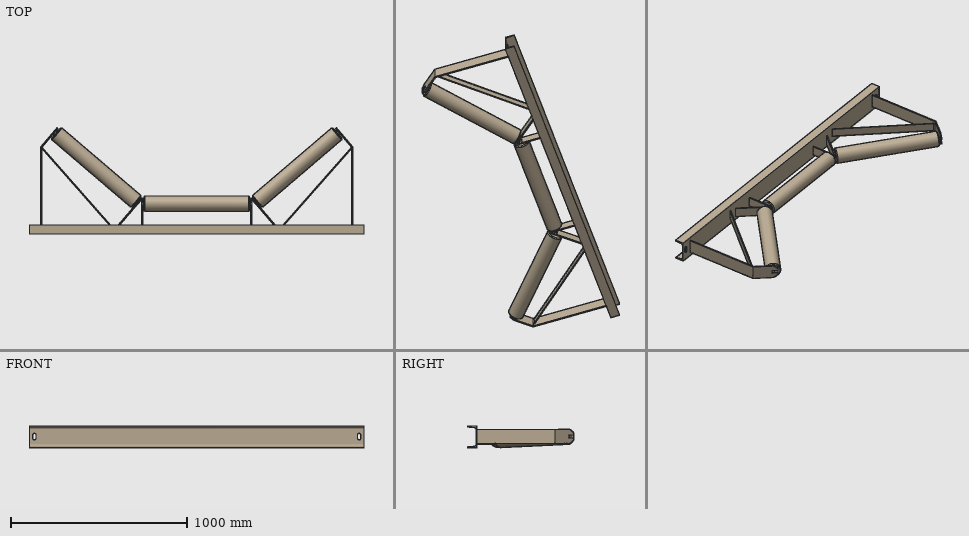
import cadquery as cq
import math

channel_length = 1900.0
channel_height = 125.0
channel_depth = 53.0
web_thickness = 5.0
flange_thickness = 9.1
flange_taper = 0.1
root_radius = 9.0
toe_radius = 4.4
mount_slot_width = 17.0
mount_slot_height = 36.0
mount_slot_inset = 28.0
mount_slot_z = 2.0

roller_diameter = 90.0
roller_length = 600.0
roller_edge_chamfer = 5.0
shaft_end_height = 16.0
shaft_end_depth = 15.0
shaft_length = 629.0
trough_angle = 40.5
forward_tilt = 1.8
center_roller_y = 120.0
center_roller_z = -15.0
wing_roller_x = 570.0
wing_roller_y = 325.0
wing_roller_z = -8.0

bar_thickness = 8.0
outer_bracket_height = 80.0
outer_bracket_x = 885.0
outer_bracket_fold_y = 443.0
outer_bracket_tip_y = 551.0
outer_bracket_z = 2.8
tip_chamfer_along = 25.0
tip_chamfer_height = 19.0
inner_bracket_x = 305.0
inner_bracket_top_y = 152.0
inner_bracket_top_width = 10.0
inner_bracket_height = 55.0
inner_bracket_z = -15.0
shaft_slot_width = 17.0
shaft_slot_through = 3 * bar_thickness

brace_height = 50.0
brace_foot_x = 490.0
brace_foot_width = 8.0

trough = math.radians(trough_angle)
axis_direction = cq.Vector(math.cos(trough), math.sin(trough))
plate_direction = cq.Vector(-math.sin(trough), math.cos(trough))
outer_bracket_inside_fold_y = outer_bracket_fold_y - bar_thickness * math.tan(trough / 2)


def extrude_about(outline, z_middle, height):
    """Close the XY outline and extrude it by height, centred on z_middle."""
    points = [(point.x, point.y) for point in outline]
    return (
        cq.Workplane("XY", origin=(0, 0, z_middle - height / 2))
        .polyline(points)
        .close()
        .extrude(height)
    )


def mirrored_pair(body):
    """The +X body and its mirror image on the -X side."""
    return [body, body.mirror("YZ")]


def make_channel():
    """Channel with rounded flange roots and toes and an upright slot at each end."""
    half_height = channel_height / 2
    slope_drop = flange_taper * (channel_depth - web_thickness) / 2
    toe_z = half_height - flange_thickness + slope_drop
    root_z = half_height - flange_thickness - slope_drop
    profile = [
        (0, half_height),
        (-channel_depth, half_height),
        (-channel_depth, toe_z),
        (-web_thickness, root_z),
        (-web_thickness, -root_z),
        (-channel_depth, -toe_z),
        (-channel_depth, -half_height),
        (0, -half_height),
    ]
    body = (
        cq.Workplane("YZ", origin=(-channel_length / 2, 0, 0))
        .polyline(profile)
        .close()
        .extrude(channel_length)
    )

    def inner_edges(y, z):
        margin = flange_thickness / 10
        return cq.selectors.BoxSelector(
            (-channel_length, y - margin, -z - margin), (channel_length, y + margin, z + margin)
        )

    body = body.edges("|X").edges(inner_edges(-web_thickness, root_z)).fillet(root_radius)
    body = body.edges("|X").edges(inner_edges(-channel_depth, toe_z)).fillet(toe_radius)
    slot_x = channel_length / 2 - mount_slot_inset
    slots = (
        cq.Workplane("XZ", origin=(0, 0, mount_slot_z))
        .pushPoints([(-slot_x, 0), (slot_x, 0)])
        .slot2D(mount_slot_height, mount_slot_width, 90)
        .extrude(channel_depth)
    )
    return body.cut(slots)


def make_roller():
    """Roller along X, centred on the origin."""
    barrel = (
        cq.Workplane("YZ", origin=(-roller_length / 2, 0, 0))
        .circle(roller_diameter / 2)
        .extrude(roller_length)
        .edges()
        .chamfer(roller_edge_chamfer)
    )
    shaft = cq.Workplane("XY").box(shaft_length, shaft_end_depth, shaft_end_height)
    return barrel.union(shaft)


def make_wing_roller():
    """Roller on the +X side, tilted and turned to the trough angle."""
    return (
        make_roller()
        .rotate((0, 0, 0), (0, 1, 0), -forward_tilt)
        .rotate((0, 0, 0), (0, 0, 1), trough_angle)
        .translate((wing_roller_x, wing_roller_y, wing_roller_z))
    )


def wing_shaft_z(side):
    """Height of the wing roller axis at its outer (+1) or inner (-1) end."""
    return wing_roller_z + side * shaft_length / 2 * math.sin(math.radians(forward_tilt))


def shaft_slot(x, y, z, angle):
    """Slot cutter for a shaft end at (x, y, z), open towards the plate's upper end."""
    length = roller_diameter
    bottom = -shaft_end_depth / 2
    return (
        cq.Workplane("XY")
        .box(shaft_slot_through, length, shaft_slot_width)
        .translate((0, bottom + length / 2, 0))
        .rotate((0, 0, 0), (0, 0, 1), angle)
        .translate((x, y, z))
    )


def wing_shaft_slot(side):
    """Slot cutter for the outer (+1) or inner (-1) shaft end of the wing roller."""
    reach = side * shaft_length / 2
    x = wing_roller_x + reach * axis_direction.x
    y = wing_roller_y + reach * axis_direction.y
    return shaft_slot(x, y, wing_shaft_z(side), trough_angle)


def make_outer_bracket():
    """Upright that folds over at the top, square to the wing roller."""
    fold = cq.Vector(outer_bracket_x, outer_bracket_fold_y)
    plate_length = (outer_bracket_tip_y - outer_bracket_fold_y) / plate_direction.y
    tip = fold + plate_direction * plate_length
    inside_x = outer_bracket_x - bar_thickness
    outline = [
        cq.Vector(outer_bracket_x, 0),
        fold,
        tip,
        tip - axis_direction * bar_thickness,
        cq.Vector(inside_x, outer_bracket_inside_fold_y),
        cq.Vector(inside_x, 0),
    ]
    body = extrude_about(outline, outer_bracket_z, outer_bracket_height)
    for side in (-1, 1):
        edge_z = outer_bracket_z + side * outer_bracket_height / 2
        corner = (
            cq.Workplane(cq.Plane(tip, plate_direction, axis_direction))
            .moveTo(0, edge_z)
            .lineTo(-tip_chamfer_along, edge_z)
            .lineTo(0, edge_z - side * tip_chamfer_height)
            .close()
            .extrude(2 * bar_thickness, both=True)
        )
        body = body.cut(corner)
    return body.cut(wing_shaft_slot(1))


def make_inner_bracket():
    """Upright beside the center roller, folded back down square to the wing roller."""
    lean = math.tan(trough)
    lean_top_x = inner_bracket_x + inner_bracket_top_width
    foot_x = lean_top_x + inner_bracket_top_y * lean
    inside_x = inner_bracket_x + bar_thickness
    inside_foot_x = foot_x - bar_thickness / math.cos(trough)
    outline = [
        cq.Vector(inner_bracket_x, 0),
        cq.Vector(inner_bracket_x, inner_bracket_top_y),
        cq.Vector(lean_top_x, inner_bracket_top_y),
        cq.Vector(foot_x, 0),
        cq.Vector(inside_foot_x, 0),
        cq.Vector(inside_x, (inside_foot_x - inside_x) / lean),
        cq.Vector(inside_x, 0),
    ]
    body = extrude_about(outline, inner_bracket_z, inner_bracket_height)
    center_slot = shaft_slot(shaft_length / 2, center_roller_y, center_roller_z, 0)
    return body.cut(center_slot).cut(wing_shaft_slot(-1))


def make_brace():
    """Diagonal flat bar from the outer bracket's fold down to the channel."""
    head_x = outer_bracket_x - bar_thickness
    slope = outer_bracket_inside_fold_y / (head_x - brace_foot_x)
    outline = [
        cq.Vector(brace_foot_x, 0),
        cq.Vector(head_x, outer_bracket_inside_fold_y),
        cq.Vector(head_x, outer_bracket_inside_fold_y - brace_foot_width * slope),
        cq.Vector(brace_foot_x + brace_foot_width, 0),
    ]
    return extrude_about(outline, outer_bracket_z, brace_height)


channel = make_channel()
center_roller = make_roller().translate((0, center_roller_y, center_roller_z))
bodies = [channel, center_roller]
for side_body in (make_wing_roller(), make_outer_bracket(), make_inner_bracket(), make_brace()):
    bodies += mirrored_pair(side_body)

result = cq.Compound.makeCompound([body.solids().val() for body in bodies])